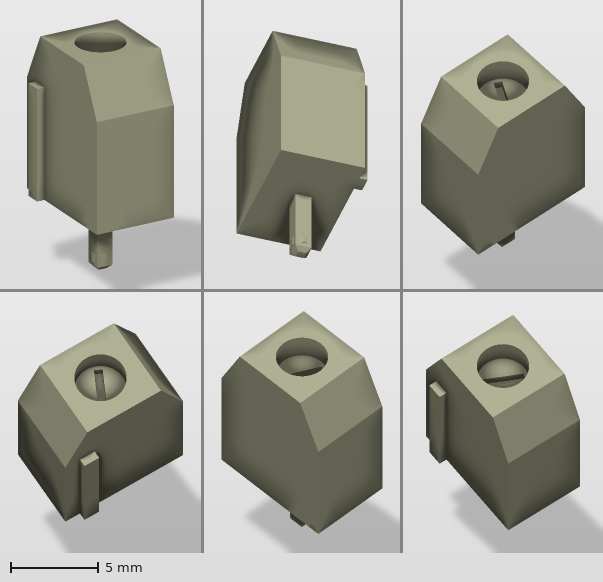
import cadquery as cq

body_width = 8.0
body_depth = 5.1
body_height = 10.0
shoulder_height = 7.0
top_width = 5.0

rib_width = 1.0
rib_depth = 0.49
rib_inset = 1.0

well_diameter = 3.0
well_depth = 1.5
slot_length = 2.5
slot_width = 0.5
slot_depth = 0.5
slot_angle = 63.5

pin_side = 1.0
overall_height = 14.0
pin_length = overall_height - body_height
tip_chamfer = 0.25

bump_width = 0.5
bump_height = 0.5
bump_rise = 0.05
bump_above_tip = 0.5


def make_housing():
    """Block with sloping shoulders on the -X and +X sides."""
    half_width = body_width / 2
    half_top = top_width / 2
    outline = [
        (-half_width, 0),
        (half_width, 0),
        (half_width, shoulder_height),
        (half_top, body_height),
        (-half_top, body_height),
        (-half_width, shoulder_height),
    ]
    return cq.Workplane("XZ").polyline(outline).close().extrude(body_depth / 2, both=True)


def make_rib():
    left = -body_width / 2 + rib_inset
    front = -body_depth / 2 - rib_depth
    return (
        cq.Workplane("XY")
        .box(rib_width, rib_depth, shoulder_height, centered=False)
        .translate((left, front, 0))
    )


def cut_screw_well(part):
    floor = body_height - well_depth
    well = cq.Workplane("XY").workplane(offset=floor).circle(well_diameter / 2).extrude(well_depth)
    slot = (
        cq.Workplane("XY")
        .workplane(offset=floor)
        .transformed(rotate=(0, 0, slot_angle))
        .rect(slot_length, slot_width)
        .extrude(-slot_depth)
    )
    return part.cut(well).cut(slot)


def make_pin():
    """Square pin with a tapered tip and a bump on all four sides."""
    pin = cq.Workplane("XY").rect(pin_side, pin_side).extrude(-pin_length)
    pin = pin.faces("<Z").chamfer(tip_chamfer)
    face = pin_side / 2
    half_bump = bump_width / 2
    bump = (
        cq.Workplane("XY")
        .workplane(offset=-pin_length + bump_above_tip)
        .moveTo(0, -half_bump)
        .lineTo(face, -half_bump)
        .threePointArc((face + bump_rise, 0), (face, half_bump))
        .lineTo(0, half_bump)
        .close()
        .extrude(bump_height)
    )
    for angle in (0, 90, 180, 270):
        pin = pin.union(bump.rotate((0, 0, 0), (0, 0, 1), angle))
    return pin


housing = cut_screw_well(make_housing().union(make_rib()))
result = housing.union(make_pin())